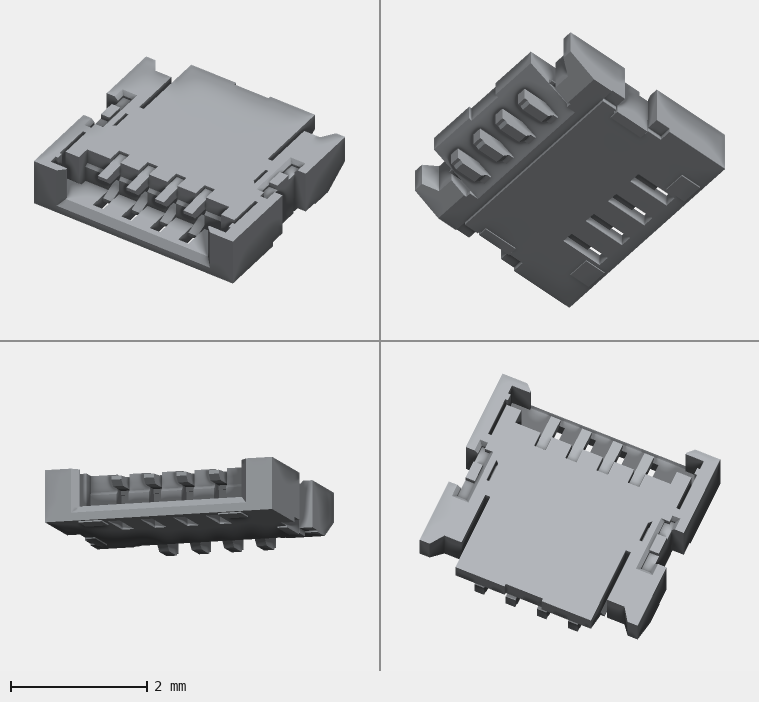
import cadquery as cq

WIDTH = 3.5
LENGTH = 3.2
TOP = 0.8
HALF_WIDTH = WIDTH / 2
CUT_MARGIN = 0.175

UNDERSIDE = 0.02
REAR_UNDERSIDE = 0.075
REAR_STEP_Y = 2.198
WING_END_Y = 3.0
WING_SLOPE_Y = 2.545
WING_END_Z = 0.357
WING_TIP_X = 1.59
WING_SHOULDER_X = 1.445
WING_SHOULDER_Y = 2.79
TONGUE_HALF = 1.09
TONGUE_END_Z = 0.535
TONGUE_SLOPE_Y = 2.345
TONGUE_NOTCH_HALF = 0.298
TONGUE_NOTCH_DEPTH = 0.045
GAP_OUTER = 1.17
GAP_START_Y = 1.932
GAP_FLOOR_Z = 0.14
GAP_FLOOR_END_Y = 2.5

RAIL_END_Y = 2.845
RAIL_HALF = 1.15
RAIL_TOP_Z = 0.435
RAIL_EDGE_Z = 0.368
RAIL_BOTTOM_Z = 0.35

FLOOR_Z = 0.25
MOUTH_HALF = 1.348
CAVITY_HALF = 1.25
LIP_DEPTH = 0.098
LIP_EDGE_Z = 0.145
CAVITY_REAR_Y = 0.665
LEDGE_TOP_Z = 0.553
LEDGE_DROP = 0.045
POCKET_HALF = 1.54
POCKET_FRONT_Y = 0.125
POCKET_REAR_Y = 0.445
BLOCK_CHAMFER = 0.07
SIDE_SLOT_INNER = 1.485
SIDE_SLOT_END_Y = 0.995
RIB_FRONT_Y = 0.265
RIB_LENGTH = 0.105
RIB_HEIGHT = 0.042

CONTACT_COUNT = 4
PITCH = 0.5
CONTACT_WIDTH = 0.155
CONTACT_SLOT_WIDTH = 0.182
CONTACT_SLOT_FRONT_Y = 0.195
CONTACT_SLOT_REAR_Y = 0.9
BEAM_TOP_Z = 0.745
BEAM_BEND_Y = 0.705
BEAM_TIP_Y = 0.315
BEAM_TIP_TOP_Z = 0.718
BEAM_TIP_BOTTOM_Z = 0.66
BEAM_BEVEL_END_Y = 0.4
BEAM_BOTTOM_Z = 0.578
THROAT_Y = 0.805
THROAT_STEP_Y = 0.788
THROAT_STEP_Z = 0.508
ARM_TOP_Z = 0.325
ARM_CREST_Y = 0.718
ARM_TIP_Y = 0.448
ARM_TIP_Z = 0.217
ARM_BOTTOM_Z = 0.158
TAIL_ROOT_Y = 2.45
TAIL_TOP_Z = 0.265
TAIL_HEEL_Z = 0.098
TAIL_FOOT_FRONT_Y = 2.635
TAIL_FOOT_REAR_Y = 2.995
TAIL_TOE = 0.045
TAIL_END_Y = 3.095

NOTCH_FRONT_Y = 1.325
NOTCH_REAR_Y = 1.945
NAIL_OUTER = 1.555
NAIL_INNER = 1.405
RECESS_FLOOR_Z = 0.707
RECESS_BEVEL = 0.055
RECESS_FRONT_Y = 1.24
RECESS_REAR_Y = 2.093
RECESS_TAIL_INNER = 1.485
RECESS_TAIL_FRONT_Y = 1.185
TAB_FRONT_Y = 1.49
TAB_REAR_Y = 1.78
TAB_TOP_Z = 0.79
NAIL_FRONT_Y = 1.34
NAIL_REAR_Y = 1.92
NAIL_SHOULDER_Z = 0.27
NAIL_GAP_DEPTH = 0.052
FLANGE_FRONT_Y = 1.078
FLANGE_TOP_Z = 0.098

BLIND_SLOT_INNER = 1.205
BLIND_SLOT_OUTER = 1.253
BLIND_SLOT_FRONT_Y = 1.337
BLIND_SLOT_REAR_Y = 1.7
BLIND_SLOT_DEPTH = 0.175

PAD_INNER = 0.9
PAD_SIZE = 0.35
PAD_FRONT_Y = 0.055
PAD_TOP_Z = 0.07


def box(x0, x1, y0, y1, z0, z1):
    return cq.Workplane("XY").box(x1 - x0, y1 - y0, z1 - z0, centered=False).translate((x0, y0, z0))


def side_prism(points, x0, x1):
    """Extrude a (Y, Z) outline from x0 to x1."""
    return cq.Workplane("YZ").workplane(offset=x0).polyline(points).close().extrude(x1 - x0)


def plan_prism(points, z0, z1):
    """Extrude an (X, Y) outline from z0 to z1."""
    return cq.Workplane("XY").workplane(offset=z0).polyline(points).close().extrude(z1 - z0)


def both_sides(solid):
    """Pair a feature on the +X side with its mirror image."""
    return solid.union(solid.mirror("YZ"))


def make_wing():
    wing = side_prism(
        [
            (0, UNDERSIDE),
            (REAR_STEP_Y, UNDERSIDE),
            (REAR_STEP_Y, REAR_UNDERSIDE),
            (WING_SLOPE_Y, REAR_UNDERSIDE),
            (WING_END_Y, WING_END_Z),
            (WING_END_Y, TOP),
            (0, TOP),
        ],
        GAP_OUTER,
        HALF_WIDTH,
    )
    corner = [
        (GAP_OUTER, WING_SHOULDER_Y),
        (WING_SHOULDER_X, WING_SHOULDER_Y),
        (WING_TIP_X, WING_END_Y),
        (GAP_OUTER, WING_END_Y),
    ]
    return wing.cut(plan_prism(corner, 0, TOP))


def make_tongue():
    tongue = side_prism(
        [
            (0, UNDERSIDE),
            (REAR_STEP_Y, UNDERSIDE),
            (REAR_STEP_Y, REAR_UNDERSIDE),
            (TONGUE_SLOPE_Y, REAR_UNDERSIDE),
            (LENGTH, TONGUE_END_Z),
            (LENGTH, TOP),
            (0, TOP),
        ],
        -TONGUE_HALF,
        TONGUE_HALF,
    )
    notch = box(-TONGUE_NOTCH_HALF, TONGUE_NOTCH_HALF, LENGTH - TONGUE_NOTCH_DEPTH, LENGTH, 0, TOP)
    return tongue.cut(notch)


def make_gap_fill():
    """Solid front part and low floor that join the tongue to a wing."""
    front = box(TONGUE_HALF, GAP_OUTER, 0, GAP_START_Y, UNDERSIDE, TOP)
    floor_front = box(TONGUE_HALF, GAP_OUTER, GAP_START_Y, REAR_STEP_Y, UNDERSIDE, GAP_FLOOR_Z)
    floor_rear = box(TONGUE_HALF, GAP_OUTER, REAR_STEP_Y, GAP_FLOOR_END_Y, REAR_UNDERSIDE, GAP_FLOOR_Z)
    return front.union(floor_front).union(floor_rear)


def make_rail():
    outline = [
        (TONGUE_HALF, RAIL_TOP_Z),
        (RAIL_HALF, RAIL_EDGE_Z),
        (RAIL_HALF, RAIL_BOTTOM_Z),
        (TONGUE_HALF, RAIL_BOTTOM_Z),
    ]
    rail = cq.Workplane("XZ").polyline(outline).close().extrude(GAP_FLOOR_END_Y - RAIL_END_Y)
    return rail.translate((0, GAP_FLOOR_END_Y, 0))


def make_cavity():
    ledge_front_y = CAVITY_REAR_Y - LEDGE_DROP
    main = side_prism(
        [
            (0, FLOOR_Z),
            (ledge_front_y, FLOOR_Z),
            (ledge_front_y, LEDGE_TOP_Z - LEDGE_DROP),
            (CAVITY_REAR_Y, LEDGE_TOP_Z),
            (CAVITY_REAR_Y, TOP),
            (0, TOP),
        ],
        -CAVITY_HALF,
        CAVITY_HALF,
    )
    mouth = (
        cq.Workplane("XZ")
        .polyline(mouth_outline(MOUTH_HALF, LIP_EDGE_Z))
        .close()
        .workplane(offset=-LIP_DEPTH)
        .polyline(mouth_outline(CAVITY_HALF, FLOOR_Z))
        .close()
        .loft(ruled=True)
    )
    return main.union(mouth)


def mouth_outline(half, bottom):
    return [(-half, bottom), (half, bottom), (half, TOP), (-half, TOP)]


def make_side_pocket():
    pocket = box(CAVITY_HALF, POCKET_HALF, POCKET_FRONT_Y, POCKET_REAR_Y, FLOOR_Z, TOP)
    rib = box(POCKET_HALF - RIB_HEIGHT, POCKET_HALF, RIB_FRONT_Y, RIB_FRONT_Y + RIB_LENGTH, FLOOR_Z, TOP)
    slot = box(SIDE_SLOT_INNER, POCKET_HALF, POCKET_REAR_Y, SIDE_SLOT_END_Y, FLOOR_Z, TOP)
    bevel = side_prism(
        [
            (POCKET_REAR_Y, FLOOR_Z),
            (POCKET_REAR_Y + BLOCK_CHAMFER, FLOOR_Z),
            (POCKET_REAR_Y, FLOOR_Z + BLOCK_CHAMFER),
        ],
        CAVITY_HALF,
        SIDE_SLOT_INNER,
    )
    return pocket.cut(rib).union(slot).union(bevel)


def make_latch_cut():
    """Side notch, bevelled top recess and flange undercut around one solder nail."""
    outside = HALF_WIDTH + CUT_MARGIN
    notch = box(NAIL_OUTER, outside, NOTCH_FRONT_Y, NOTCH_REAR_Y, 0, TOP)
    undercut = box(NAIL_OUTER, outside, FLANGE_FRONT_Y, REAR_STEP_Y, 0, FLANGE_TOP_Z)

    recess = box(NAIL_INNER, NAIL_OUTER, RECESS_FRONT_Y, RECESS_REAR_Y, RECESS_FLOOR_Z, TOP)
    recess = recess.union(
        box(RECESS_TAIL_INNER, NAIL_OUTER, RECESS_TAIL_FRONT_Y, RECESS_FRONT_Y, RECESS_FLOOR_Z, TOP)
    )
    tab = box(NAIL_INNER, NAIL_OUTER, TAB_FRONT_Y, TAB_REAR_Y, RECESS_FLOOR_Z, TAB_TOP_Z)
    main_bevel = bevelled_rim(NAIL_INNER, RECESS_FRONT_Y)
    main_bevel = main_bevel.intersect(box(0, outside, RECESS_FRONT_Y, LENGTH, 0, TOP))
    tail_bevel = bevelled_rim(RECESS_TAIL_INNER, RECESS_TAIL_FRONT_Y)
    tail_bevel = tail_bevel.intersect(box(RECESS_TAIL_INNER, outside, 0, LENGTH, 0, TOP))
    recess = recess.union(main_bevel).union(tail_bevel).cut(tab)

    gap_inner = NAIL_OUTER - NAIL_GAP_DEPTH
    gaps = box(gap_inner, NAIL_OUTER, NOTCH_FRONT_Y, NOTCH_REAR_Y, 0, NAIL_SHOULDER_Z)
    gaps = gaps.cut(box(gap_inner, NAIL_OUTER, NAIL_FRONT_Y, NAIL_REAR_Y, 0, NAIL_SHOULDER_Z))
    return notch.union(undercut).union(recess).union(gaps)


def bevelled_rim(inner, front):
    """45 degree countersink that opens the recess towards the top face."""
    x_size = NAIL_OUTER - inner
    y_size = RECESS_REAR_Y - front
    centre = ((NAIL_OUTER + inner) / 2, (RECESS_REAR_Y + front) / 2)
    return (
        cq.Workplane("XY", origin=(*centre, TOP - RECESS_BEVEL))
        .rect(x_size, y_size)
        .workplane(offset=RECESS_BEVEL)
        .rect(x_size + 2 * RECESS_BEVEL, y_size + 2 * RECESS_BEVEL)
        .loft(ruled=True)
    )


def make_blind_slot():
    chamfer = BLIND_SLOT_OUTER - BLIND_SLOT_INNER
    outline = [
        (BLIND_SLOT_OUTER, BLIND_SLOT_FRONT_Y),
        (BLIND_SLOT_OUTER, BLIND_SLOT_REAR_Y),
        (BLIND_SLOT_INNER, BLIND_SLOT_REAR_Y),
        (BLIND_SLOT_INNER, BLIND_SLOT_FRONT_Y + chamfer),
    ]
    return plan_prism(outline, TOP - BLIND_SLOT_DEPTH, TOP)


def make_contact_slot():
    half = CONTACT_SLOT_WIDTH / 2
    return box(-half, half, CONTACT_SLOT_FRONT_Y, CONTACT_SLOT_REAR_Y, 0, TOP)


def make_contact():
    """Fork-shaped contact in the cavity plus its solder tail under the tongue."""
    half = CONTACT_WIDTH / 2
    fork = side_prism(
        [
            (CONTACT_SLOT_REAR_Y, BEAM_TOP_Z),
            (BEAM_BEND_Y, BEAM_TOP_Z),
            (BEAM_TIP_Y, BEAM_TIP_TOP_Z),
            (BEAM_TIP_Y, BEAM_TIP_BOTTOM_Z),
            (BEAM_BEVEL_END_Y, BEAM_BOTTOM_Z),
            (THROAT_STEP_Y, BEAM_BOTTOM_Z),
            (THROAT_STEP_Y, THROAT_STEP_Z),
            (THROAT_Y, THROAT_STEP_Z),
            (THROAT_Y, ARM_TOP_Z),
            (ARM_CREST_Y, ARM_TOP_Z),
            (ARM_TIP_Y, ARM_TIP_Z),
            (ARM_TIP_Y, ARM_BOTTOM_Z),
            (CONTACT_SLOT_REAR_Y, ARM_BOTTOM_Z),
        ],
        -half,
        half,
    )
    tail = side_prism(
        [
            (TAIL_ROOT_Y, TAIL_HEEL_Z),
            (TAIL_FOOT_FRONT_Y - TAIL_HEEL_Z, TAIL_HEEL_Z),
            (TAIL_FOOT_FRONT_Y, 0),
            (TAIL_FOOT_REAR_Y, 0),
            (TAIL_FOOT_REAR_Y + TAIL_TOE, TAIL_TOE),
            (TAIL_END_Y, TAIL_TOE),
            (TAIL_END_Y, TAIL_TOP_Z),
            (TAIL_ROOT_Y, TAIL_TOP_Z),
        ],
        -half,
        half,
    )
    return fork.union(tail)


def make_nail_foot():
    return box(NAIL_INNER, NAIL_OUTER, NAIL_FRONT_Y, NAIL_REAR_Y, 0, NAIL_SHOULDER_Z)


def make_front_pad():
    return box(PAD_INNER, PAD_INNER + PAD_SIZE, PAD_FRONT_Y, PAD_FRONT_Y + PAD_SIZE, 0, PAD_TOP_Z)


connector = make_tongue()
for side_body in (make_gap_fill(), make_wing(), make_rail()):
    connector = connector.union(both_sides(side_body))

connector = connector.cut(make_cavity())
for side_cut in (make_side_pocket(), make_latch_cut(), make_blind_slot()):
    connector = connector.cut(both_sides(side_cut))

for side_metal in (make_nail_foot(), make_front_pad()):
    connector = connector.union(both_sides(side_metal))

for index in range(CONTACT_COUNT):
    shift = ((index - (CONTACT_COUNT - 1) / 2) * PITCH, 0, 0)
    connector = connector.cut(make_contact_slot().translate(shift))
    connector = connector.union(make_contact().translate(shift))

result = connector